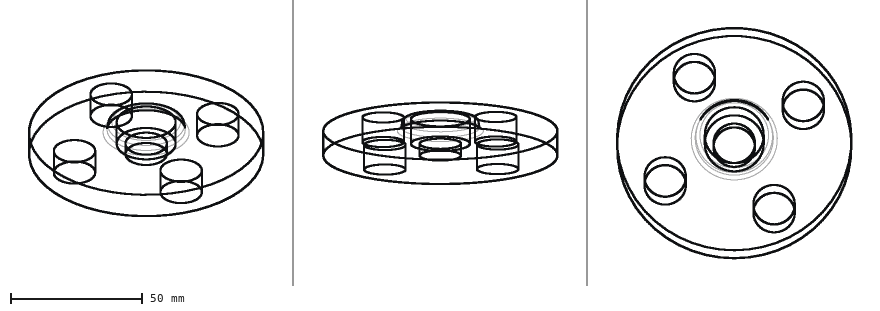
import cadquery as cq

flange_diameter = 88.9
flange_thickness = 9.6
total_height = 14.2

hub_base_diameter = 30.0
hub_top_diameter = 28.6
hub_fillet_radius = 1.5

bore_diameter = 15.7
socket_diameter = 22.4
socket_depth = 9.6

bolt_hole_diameter = 15.7
bolt_circle_diameter = 60.4
bolt_hole_count = 4


def flange_with_hub():
    """Revolve the disc and its tapered hub as one half profile."""
    blank = (
        cq.Workplane("XZ")
        .moveTo(0, 0)
        .lineTo(flange_diameter / 2, 0)
        .lineTo(flange_diameter / 2, flange_thickness)
        .lineTo(hub_base_diameter / 2, flange_thickness)
        .lineTo(hub_top_diameter / 2, total_height)
        .lineTo(0, total_height)
        .close()
        .revolve(360, (0, 0, 0), (0, 1, 0))
    )
    hub_side = blank.faces("%CONE")
    return hub_side.edges("%CIRCLE").fillet(hub_fillet_radius)


def cut_stepped_bore(body):
    """Sink the pipe socket from the hub top and run the bore through its floor."""
    return body.faces(">Z").workplane(origin=(0, 0, 0)).cboreHole(
        bore_diameter, socket_diameter, socket_depth
    )


def cut_bolt_holes(body):
    """Drill the evenly spaced holes through the disc."""
    holes = (
        cq.Workplane("XY")
        .polarArray(bolt_circle_diameter / 2, 0, 360, bolt_hole_count)
        .circle(bolt_hole_diameter / 2)
        .extrude(flange_thickness)
    )
    return body.cut(holes)


result = cut_bolt_holes(cut_stepped_bore(flange_with_hub()))